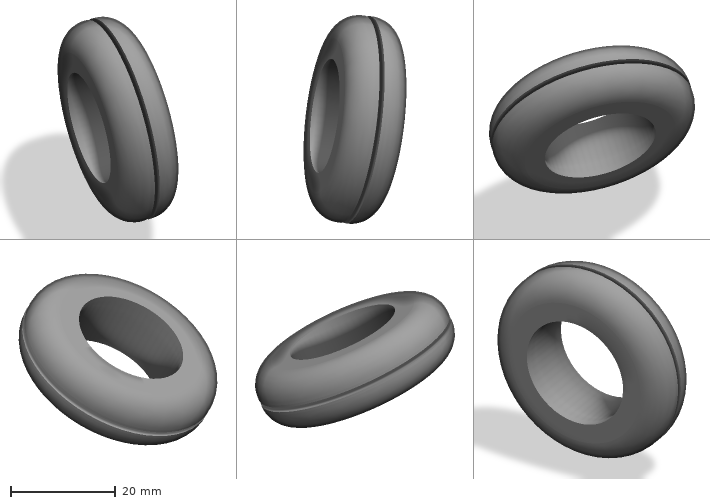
import cadquery as cq

outer_diameter = 40.0
bore_diameter = 22.0
groove_diameter = 32.0
thickness = 12.0
groove_width = 1.0
rim_radius = 5.0

outer_radius = outer_diameter / 2
bore_radius = bore_diameter / 2
groove_radius = groove_diameter / 2
half_thickness = thickness / 2
half_groove = groove_width / 2

flat_face_radius = outer_radius - rim_radius
rim_start = half_thickness - rim_radius


def grommet():
    """Half section in the YZ plane, revolved a full turn about the Y axis."""
    section = (
        cq.Workplane("YZ")
        .moveTo(-half_thickness, bore_radius)
        .lineTo(-half_thickness, flat_face_radius)
        .radiusArc((-rim_start, outer_radius), rim_radius)
        .lineTo(-half_groove, outer_radius)
        .lineTo(-half_groove, groove_radius)
        .lineTo(half_groove, groove_radius)
        .lineTo(half_groove, outer_radius)
        .lineTo(rim_start, outer_radius)
        .radiusArc((half_thickness, flat_face_radius), rim_radius)
        .lineTo(half_thickness, bore_radius)
        .close()
    )
    return section.revolve(360, (0, 0), (1, 0))


result = grommet()